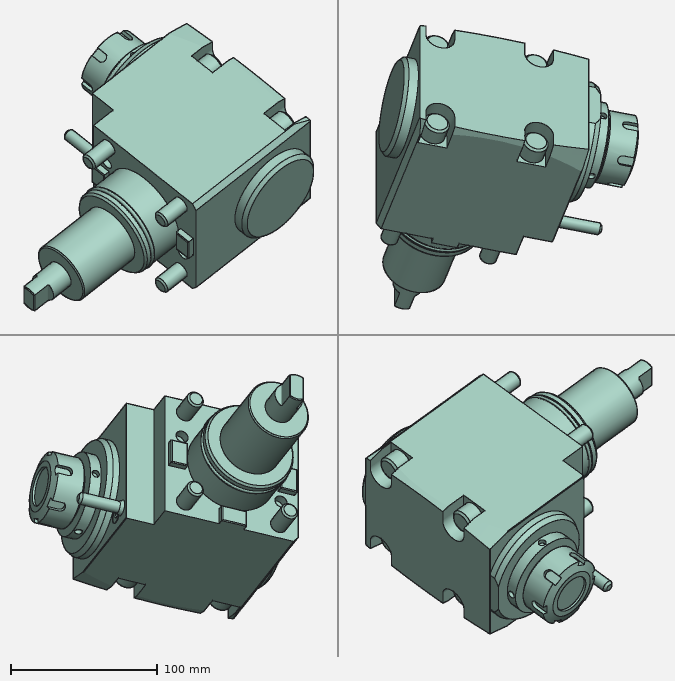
import cadquery as cq
import math


overall_length = 222.0
height = 94.0
front_half_width = 49.7
head_left = -70.4
back_y = 110.1
step_y = 18.9
right_chamfer_x = 3.5
right_chamfer_z = 4.2
head_edge_chamfer = 0.5
half_height = height / 2

relief_radius = 568.3
relief_half_height = 46.0
relief_axis_x = -4.0
relief_angle = 15.0

spindle_y = 72.0
flange_radius = 41.7
flange_face_x = -78.8
flange_chamfer_x = 3.8
flange_chamfer_r = 2.0
collar_radius = 29.7
collar_face_x = -86.8
neck_radius = 20.2
nut_back_x = -88.8
nut_face_x = -111.2
nut_radius = 25.0
nut_face_radius = 18.0
nut_taper = 2.5
nut_back_chamfer = 0.7
nut_bore_radius = 13.8
nut_bore_depth = 1.8

slot_count = 6
slot_width = 6.7
slot_floor_radius = 22.2
slot_end_x = -98.1
spanner_hole_count = 4
spanner_hole_radius = 2.7
spanner_hole_depth = 3.3
spanner_hole_x = -82.8

cap_radius = 34.6
cap_end_x = 59.0
cap_chamfer = 2.7

pilot_radius = 32.9
pilot_end = 32.0
pilot_chamfer_y = 1.8
pilot_chamfer_r = 1.3
groove_start = 23.0
groove_end = 26.6
groove_radius = 31.5
ring_outer_radius = 33.5
ring_section_radius = 1.45
shank_radius = 22.5
shank_end = 81.0
shank_chamfer = 0.9
drive_radius = 10.2
drive_end = overall_length - back_y
drive_chamfer = 0.7
tang_start = 98.0
tang_thickness = 10.7
tang_root_fillet = 1.0

bolt_x = 35.0
bolt_z = 36.5
bolt_radius = 6.0
bolt_length = 20.0
bolt_chamfer = 1.3
bolt_head_radius = 8.9
bolt_head_length = 12.7
bolt_head_chamfer = 1.5
pocket_radius = 10.2
pocket_depth = 20.2

key_length = 18.5
key_width = 12.2
key_height = 4.9
key_chamfer = 0.7
side_key_x = 40.8

face_hole_x = 36.9
face_hole_z = 16.9
face_hole_radius = 4.5
face_hole_depth = 6.7
drill_angle = 118.0

nozzle_y = 26.9
nozzle_z = -34.0
nozzle_radius = 4.2
nozzle_tip_x = -102.5
nozzle_chamfer = 1.8
nozzle_base_radius = 5.5
nozzle_base_length = 2.7
plug_y = 36.9
plug_radius = 5.5
plug_recess = 0.5
plug_hole_radius = 1.8
plug_hole_depth = 2.2


def spindle_turning(profile):
    """Solid of revolution about the spindle axis from (x, radius) points."""
    axis_start = (0, spindle_y)
    axis_end = (1, spindle_y)
    points = [(x, spindle_y + radius) for x, radius in profile]
    return cq.Workplane("XY").polyline(points).close().revolve(360, axis_start, axis_end)


def shank_turning(profile):
    """Solid of revolution about the shank axis from (radius, distance) points."""
    points = [(radius, -distance) for radius, distance in profile]
    return cq.Workplane("XY").polyline(points).close().revolve(360, (0, 0), (0, 1))


def cylinder_y(x, z, radius, start_y, end_y):
    """Cylinder along +Y between two Y positions."""
    plane = cq.Plane(origin=(x, start_y, z), xDir=(1, 0, 0), normal=(0, 1, 0))
    return cq.Workplane(plane).circle(radius).extrude(end_y - start_y)


def cylinder_x(y, z, radius, start_x, end_x):
    """Cylinder along +X between two X positions."""
    plane = cq.Plane(origin=(start_x, y, z), xDir=(0, 1, 0), normal=(1, 0, 0))
    return cq.Workplane(plane).circle(radius).extrude(end_x - start_x)


def make_housing():
    outline = [
        (head_left, back_y),
        (head_left, step_y),
        (-front_half_width, step_y),
        (-front_half_width, 0),
        (front_half_width, 0),
        (front_half_width, back_y),
    ]
    body = cq.Workplane("XY").workplane(offset=-half_height).polyline(outline).close().extrude(height)
    body = body.faces("<X").edges().chamfer(head_edge_chamfer)

    for side in (1, -1):
        corner = [
            (front_half_width - right_chamfer_x, side * half_height),
            (front_half_width, side * half_height),
            (front_half_width, side * (half_height - right_chamfer_z)),
        ]
        wedge = cq.Workplane("XZ").polyline(corner).close().extrude(-back_y)
        body = body.cut(wedge)

    front_radius = relief_radius + back_y * math.tan(math.radians(relief_angle))
    for side in (1, -1):
        axis_z = side * (relief_half_height - relief_radius)
        cone = cq.Solid.makeCone(
            front_radius, relief_radius, back_y, cq.Vector(relief_axis_x, 0, axis_z), cq.Vector(0, 1, 0)
        )
        body = body.intersect(cq.Workplane(cone))
    return body


def make_spindle():
    bore_floor_x = nut_face_x + nut_bore_depth
    profile = [
        (head_left, 0),
        (head_left, flange_radius),
        (flange_face_x + flange_chamfer_x, flange_radius),
        (flange_face_x, flange_radius - flange_chamfer_r),
        (flange_face_x, collar_radius),
        (collar_face_x, collar_radius),
        (collar_face_x, neck_radius),
        (nut_back_x, neck_radius),
        (nut_back_x, nut_radius - nut_back_chamfer),
        (nut_back_x - nut_back_chamfer, nut_radius),
        (nut_face_x + nut_taper, nut_radius),
        (nut_face_x, nut_face_radius),
        (nut_face_x, nut_bore_radius),
        (bore_floor_x, nut_bore_radius),
        (bore_floor_x, 0),
    ]
    spindle = spindle_turning(profile)

    flush_size = 2 * flange_radius
    flush_cut = cq.Workplane("XY").box(flush_size, flush_size, flush_size, centered=(True, False, True))
    spindle = spindle.cut(flush_cut.translate((head_left, back_y, 0)))

    axis_start = (0, spindle_y, 0)
    axis_end = (1, spindle_y, 0)
    for i in range(slot_count):
        slot = make_nut_slot().rotate(axis_start, axis_end, i * 360 / slot_count)
        spindle = spindle.cut(slot)
    for i in range(spanner_hole_count):
        hole = make_spanner_hole().rotate(axis_start, axis_end, i * 360 / spanner_hole_count)
        spindle = spindle.cut(hole)
    return spindle


def make_nut_slot():
    """Round-ended wrench slot cutter on the -Y side of the nut."""
    arc_center_x = slot_end_x - slot_width / 2
    start_x = nut_face_x - slot_width
    length = arc_center_x - start_x
    plane = cq.Workplane("XZ", origin=(0, spindle_y - slot_floor_radius, 0))
    straight = plane.center(start_x + length / 2, 0).rect(length, slot_width).extrude(slot_width)
    rounded = plane.center(arc_center_x, 0).circle(slot_width / 2).extrude(slot_width)
    return straight.union(rounded)


def make_spanner_hole():
    """Radial hole cutter on the -Y side of the collar, with a drill point."""
    hole_floor_y = spindle_y - collar_radius + spanner_hole_depth
    start_y = hole_floor_y - 2 * spanner_hole_depth
    shaft = cylinder_y(spanner_hole_x, 0, spanner_hole_radius, start_y, hole_floor_y)
    return shaft.union(drill_point(spanner_hole_x, hole_floor_y, 0, spanner_hole_radius))


def drill_point(x, y, z, radius):
    """Conical end of a hole drilled along +Y."""
    length = radius / math.tan(math.radians(drill_angle / 2))
    cone = cq.Solid.makeCone(radius, 0, length, cq.Vector(x, y, z), cq.Vector(0, 1, 0))
    return cq.Workplane(cone)


def make_cap():
    profile = [
        (front_half_width, 0),
        (front_half_width, cap_radius),
        (cap_end_x - cap_chamfer, cap_radius),
        (cap_end_x, cap_radius - cap_chamfer),
        (cap_end_x, 0),
    ]
    return spindle_turning(profile)


def make_shank():
    profile = [
        (0, 0),
        (pilot_radius, 0),
        (pilot_radius, groove_start),
        (groove_radius, groove_start),
        (groove_radius, groove_end),
        (pilot_radius, groove_end),
        (pilot_radius, pilot_end - pilot_chamfer_y),
        (pilot_radius - pilot_chamfer_r, pilot_end),
        (shank_radius, pilot_end),
        (shank_radius, shank_end - shank_chamfer),
        (shank_radius - shank_chamfer, shank_end),
        (drive_radius, shank_end),
        (drive_radius, drive_end),
        (0, drive_end),
    ]
    shank = shank_turning(profile)
    tang_length = drive_end - tang_start
    for side in (1, -1):
        flat = cq.Workplane("XY").box(drive_radius, tang_length, 2 * drive_radius)
        inner_edge = "<X" if side > 0 else ">X"
        flat = flat.faces(">Y").edges(inner_edge).fillet(tang_root_fillet)
        flat_x = side * (tang_thickness + drive_radius) / 2
        shank = shank.cut(flat.translate((flat_x, -(tang_start + drive_end) / 2, 0)))
    shank = shank.faces("<Y").chamfer(drive_chamfer)
    return shank.union(make_ring())


def make_ring():
    """O-ring seated against the rear wall of the pilot groove."""
    center_radius = ring_outer_radius - ring_section_radius
    center_y = -(groove_start + ring_section_radius)
    plane = cq.Plane(origin=(center_radius, center_y, 0), xDir=(-1, 0, 0), normal=(0, 0, -1))
    section = cq.Workplane(plane).circle(ring_section_radius)
    return section.revolve(360, (center_radius, 0), (center_radius, 1))


def make_bolt(x, z):
    """Visible stem and head of one mounting bolt, as two solids."""
    seat_y = back_y - pocket_depth
    stem = cylinder_y(x, z, bolt_radius, -bolt_length, 0).faces("<Y").chamfer(bolt_chamfer)
    head = cylinder_y(x, z, bolt_head_radius, seat_y, seat_y + bolt_head_length)
    return stem, head.faces(">Y").chamfer(bolt_head_chamfer)


def make_pocket(x, side):
    """U-shaped bolt-head pocket open to the rear and to the top or bottom."""
    seat_y = back_y - pocket_depth
    round_end = cylinder_y(x, side * bolt_z, pocket_radius, seat_y, back_y)
    throat = cq.Workplane("XY").box(2 * pocket_radius, pocket_depth, 2 * pocket_radius)
    throat_y = seat_y + pocket_depth / 2
    throat_z = side * (bolt_z + pocket_radius)
    return round_end.union(throat.translate((x, throat_y, throat_z)))


def make_key(x, z, size_x, size_z):
    """Rectangular key standing out of the mounting face."""
    key = cq.Workplane("XZ", origin=(x, 0, z)).rect(size_x, size_z).extrude(key_height)
    return key.faces("<Y").edges().chamfer(key_chamfer)


def make_nozzle():
    rod = cylinder_x(nozzle_y, nozzle_z, nozzle_radius, nozzle_tip_x, head_left)
    rod = rod.faces("<X").chamfer(nozzle_chamfer)
    base = cq.Solid.makeCone(
        nozzle_base_radius,
        nozzle_radius,
        nozzle_base_length,
        cq.Vector(head_left, nozzle_y, nozzle_z),
        cq.Vector(-1, 0, 0),
    )
    return rod.union(cq.Workplane(base))


result = make_housing().union(make_cap()).union(make_spindle()).union(make_shank())

for x in (-bolt_x, bolt_x):
    for side in (1, -1):
        stem, head = make_bolt(x, side * bolt_z)
        result = result.cut(make_pocket(x, side)).union(stem).union(head)

for x in (-side_key_x, side_key_x):
    result = result.union(make_key(x, 0, key_width, key_length))
bottom_key_z = (key_width - height) / 2
result = result.union(make_key(0, bottom_key_z, key_length, key_width))

result = result.cut(cylinder_y(-face_hole_x, face_hole_z, face_hole_radius, 0, face_hole_depth))
result = result.cut(drill_point(-face_hole_x, face_hole_depth, face_hole_z, face_hole_radius))
result = result.cut(cylinder_y(face_hole_x, -face_hole_z, face_hole_radius, 0, face_hole_depth))

result = result.cut(cylinder_x(plug_y, nozzle_z, plug_radius, head_left, head_left + plug_recess))
result = result.cut(cylinder_x(plug_y, nozzle_z, plug_hole_radius, head_left, head_left + plug_hole_depth))
result = result.union(make_nozzle())